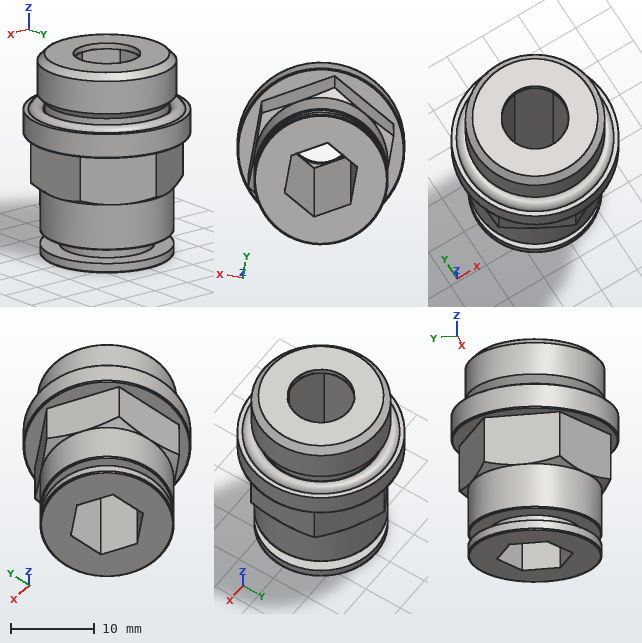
import cadquery as cq
import math

total_height = 25.0
collar_top = 1.2
body_bottom = 2.85
hex_bottom = 8.55
flange_bottom = 15.0
flange_top = 18.05
ring_top = 18.7
thread_bottom = 19.22

collar_diameter = 16.0
neck_diameter = 11.4
body_diameter = 16.0
flange_diameter = 20.0
groove_diameter = 14.95
thread_diameter = 16.65
mouth_diameter = 8.0

hex_across_flats = 16.0
hex_half_sector = 30.0
corner_ratio = 1 / math.cos(math.radians(hex_half_sector))
hex_across_corners = hex_across_flats * corner_ratio
hex_chamfer_angle = 30.0

edge_chamfer = 0.15
thread_chamfer = (thread_diameter - groove_diameter) / 2

ring_center_radius = 8.5
ring_section_radius = 0.95

passage_across_flats = mouth_diameter
mouth_depth = 0.72


def cylinder(diameter, bottom, top):
    """Solid cylinder on the Z axis between two heights."""
    return cq.Workplane("XY").workplane(offset=bottom).circle(diameter / 2).extrude(top - bottom)


def hexagon_prism(across_flats, bottom, top):
    """Hexagonal prism on the Z axis with two flats facing +X and -X."""
    return (
        cq.Workplane("XY")
        .workplane(offset=bottom)
        .polygon(6, across_flats * corner_ratio)
        .extrude(top - bottom)
        .rotate((0, 0, 0), (0, 0, 1), hex_half_sector)
    )


def seal_ring():
    """O-ring resting in the flange, its rounded top standing proud."""
    return (
        cq.Workplane("XZ")
        .center(ring_center_radius, ring_top - ring_section_radius)
        .circle(ring_section_radius)
        .revolve(360, (-ring_center_radius, 0, 0), (-ring_center_radius, 1, 0))
    )


def wrench_hexagon():
    """Hexagon with flats facing X, its lower corners cut back by a cone."""
    prism = hexagon_prism(hex_across_flats, hex_bottom, flange_bottom)
    chamfer_width = (hex_across_corners - hex_across_flats) / 2
    chamfer_height = chamfer_width * math.tan(math.radians(hex_chamfer_angle))
    envelope = (
        cq.Workplane("XZ")
        .moveTo(0, hex_bottom)
        .lineTo(hex_across_flats / 2, hex_bottom)
        .lineTo(hex_across_corners / 2, hex_bottom + chamfer_height)
        .lineTo(hex_across_corners / 2, flange_bottom)
        .lineTo(0, flange_bottom)
        .close()
        .revolve(360, (0, 0, 0), (0, 1, 0))
    )
    return prism.intersect(envelope)


collar = cylinder(collar_diameter, 0, collar_top).faces("<Z").edges().chamfer(edge_chamfer)
neck = cylinder(neck_diameter, collar_top, body_bottom)
body = cylinder(body_diameter, body_bottom, hex_bottom).faces("<Z").edges().chamfer(edge_chamfer)
flange = cylinder(flange_diameter, flange_bottom, flange_top).faces("<Z").edges().chamfer(edge_chamfer)
groove = cylinder(groove_diameter, flange_top, thread_bottom)
thread = cylinder(thread_diameter, thread_bottom, total_height).edges().chamfer(thread_chamfer)
mouth = cylinder(mouth_diameter, total_height - mouth_depth, total_height)
hex_passage = hexagon_prism(passage_across_flats, 0, total_height - mouth_depth)

result = (
    collar.union(neck)
    .union(body)
    .union(wrench_hexagon())
    .union(flange)
    .union(seal_ring())
    .union(groove)
    .union(thread)
    .cut(mouth)
    .cut(hex_passage)
)